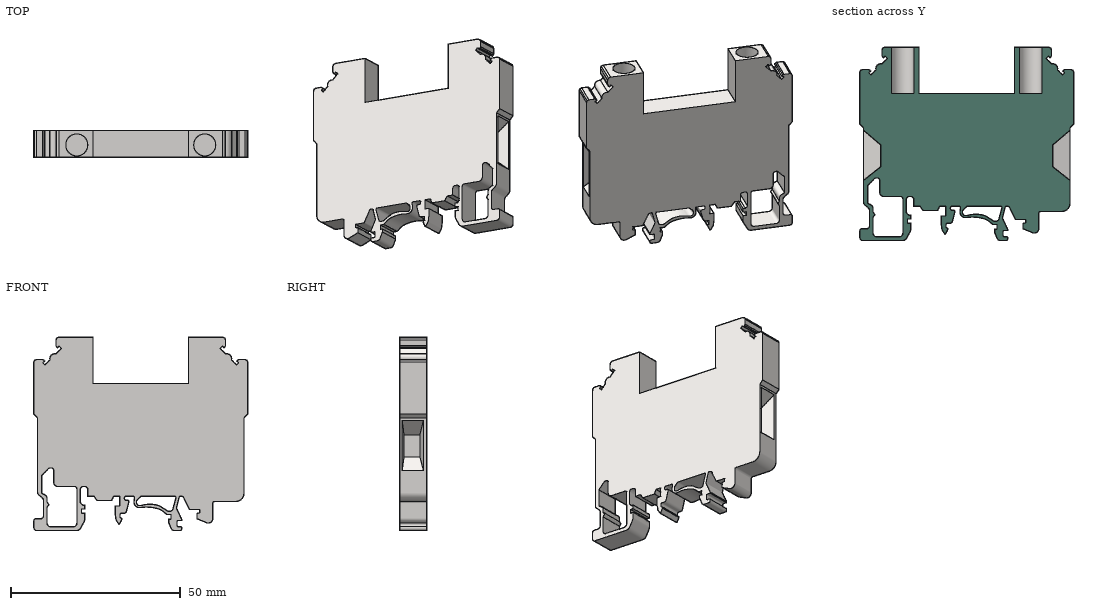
import cadquery as cq
import math


length = 63.0
thickness = 8.0
height = 57.0
half_length = length / 2
half_thickness = thickness / 2
side_step = 1.1
flank_x = half_length - side_step
flank_top_z = 33.2
step_slope_height = 1.15
shoulder_z = 50.4
shoulder_bevel = 0.75

tower_inner_x = 14.05
tower_outer_x = 25.0
tower_bevel = 0.9
gap_floor_z = 43.4
screw_hole_diameter = 6.5
screw_hole_x = 18.85
screw_hole_y = -0.3
screw_hole_depth = height - gap_floor_z

seat_top_x = 23.4
seat_top_z = 53.7
seat_run = 4.85
seat_slot_width = 0.9
shoulder_lip_x = 28.9
seat_rib_half_chord = 1.25
seat_rib_rise = 0.7
seat_rib_shift = 0.05
tower_lip_z = 54.5
lip_length = 0.7
lip_drop = 0.5
lip_bend_length = 0.4
lip_bend_drop = 0.2

funnel_mouth_width = 6.25
funnel_mouth_y = -0.1
funnel_mouth_bottom_z = 17.75
funnel_mouth_top_z = 32.5
funnel_throat_width = 4.65
funnel_throat_y = -0.4
funnel_throat_bottom_z = 21.75
funnel_throat_top_z = 28.2
funnel_depth = 5.05

rail_z = 10.15
right_base_z = 8.55
right_base_radius = 2.5
leg_outer_x = -28.65
leg_inner_x = -17.75
leg_slot_top_z = 13.0
overlap = 0.6


def rounded_outline(corners):
    """Closed XZ outline; a corner is (x, z) if sharp, (x, z, radius) if rounded by a tangent arc."""
    trims = []
    count = len(corners)
    for i, corner in enumerate(corners):
        x, z = corner[0], corner[1]
        radius = corner[2] if len(corner) > 2 else 0
        before, after = corners[i - 1], corners[(i + 1) % count]
        in_x, in_z = before[0] - x, before[1] - z
        out_x, out_z = after[0] - x, after[1] - z
        in_length = math.hypot(in_x, in_z)
        out_length = math.hypot(out_x, out_z)
        in_x, in_z = in_x / in_length, in_z / in_length
        out_x, out_z = out_x / out_length, out_z / out_length
        half_angle = math.acos(in_x * out_x + in_z * out_z) / 2
        trim = radius / math.tan(half_angle)
        bisector = math.hypot(in_x + out_x, in_z + out_z)
        to_arc = radius / math.sin(half_angle) - radius
        start = (x + in_x * trim, z + in_z * trim)
        middle = (x + (in_x + out_x) / bisector * to_arc, z + (in_z + out_z) / bisector * to_arc)
        end = (x + out_x * trim, z + out_z * trim)
        trims.append((radius, start, middle, end))

    outline = cq.Workplane("XZ").moveTo(*trims[0][3])
    for radius, start, middle, end in trims[1:] + trims[:1]:
        outline = outline.lineTo(*start)
        if radius:
            outline = outline.threePointArc(middle, end)
    return outline.close()


def slab(corners):
    """Rounded outline extruded through the full thickness, centred on Y = 0."""
    return rounded_outline(corners).extrude(half_thickness, both=True)


def double_bevel(x, z, size):
    """Outer top corner at (x, z) broken by two equal facets, from top to side."""
    middle_cut = size * (1 - math.sqrt(0.5))
    return [(x - size, z), (x - middle_cut, z - middle_cut), (x, z - size)]


def tower_side():
    """Corners of the +X end, from the tower's inner foot down to the lower flank."""
    slot_offset = seat_slot_width / math.sqrt(2)
    seat_bottom_x = seat_top_x + seat_run
    seat_bottom_z = seat_top_z - seat_run
    return [
        (tower_inner_x, gap_floor_z),
        (tower_inner_x, height),
        *double_bevel(tower_outer_x, height, tower_bevel),
        (tower_outer_x, tower_lip_z),
        (tower_outer_x - lip_bend_drop, tower_lip_z - lip_bend_length),
        (tower_outer_x - lip_drop, tower_lip_z - lip_length),
        (seat_top_x + slot_offset, seat_top_z + slot_offset),
        (seat_top_x, seat_top_z),
        (seat_bottom_x, seat_bottom_z),
        (seat_bottom_x + slot_offset, seat_bottom_z + slot_offset),
        (shoulder_lip_x - lip_length, shoulder_z - lip_drop),
        (shoulder_lip_x - lip_bend_length, shoulder_z - lip_bend_drop),
        (shoulder_lip_x, shoulder_z),
        *double_bevel(half_length, shoulder_z, shoulder_bevel),
        (half_length, flank_top_z + step_slope_height),
        (flank_x, flank_top_z),
    ]


def right_foot():
    """Corners of the fixed rail hook, from the outer flank back to the rail flat."""
    foot_outer_x = 21.2
    hook_x = 16.5
    hook_mouth_x = 17.3
    ledge_z = 6.25
    return [
        (flank_x, right_base_z, right_base_radius),
        (foot_outer_x, right_base_z, 0.5),
        (foot_outer_x, 1.5, 1.4),
        (hook_x, 3.5),
        (hook_x, 5.1),
        (hook_mouth_x, 5.3, 0.2),
        (hook_mouth_x, ledge_z),
        (14.3, ledge_z, 0.4),
        (12.4, rail_z, 0.75),
    ]


def left_underside():
    """Corners of the rail flat with its shallow pad, ending at the left flank above the leg."""
    pad_z = 8.8
    return [
        (-7.95, rail_z),
        (-8.55, pad_z),
        (-12.85, pad_z),
        (-13.8, rail_z),
        (leg_inner_x, rail_z),
        (leg_inner_x, leg_slot_top_z),
        (-flank_x, leg_slot_top_z),
    ]


def housing():
    """Main body, with mirrored towers and the fixed rail hook on the +X side."""
    right_end = tower_side()
    left_end = [(-corner[0], *corner[1:]) for corner in reversed(right_end)]
    return slab(right_end + right_foot() + left_underside() + left_end)


def seat_rib(side):
    """Round rib on the label seat; side is +1 or -1."""
    middle_x = seat_top_x + seat_run / 2 + seat_rib_shift
    middle_z = seat_top_z - seat_run / 2 - seat_rib_shift
    along = seat_rib_half_chord / math.sqrt(2)
    rise = seat_rib_rise / math.sqrt(2)
    return (
        cq.Workplane("XZ")
        .moveTo(side * (middle_x - along), middle_z + along)
        .threePointArc(
            (side * (middle_x + rise), middle_z + rise),
            (side * (middle_x + along), middle_z - along),
        )
        .lineTo(side * (middle_x - along), middle_z - along)
        .close()
        .extrude(half_thickness, both=True)
    )


def marker_leg():
    """Solid leg at the -X end, before its window is cut."""
    toe_z = 3.5
    heel_x = -16.45
    notch_x = -17.4
    return slab([
        (-flank_x, leg_slot_top_z + overlap),
        (-flank_x, 10.85, 1.25),
        (leg_outer_x, 9.4, 0.95),
        (leg_outer_x, toe_z, 0.8),
        (-half_length, toe_z, 0.6),
        (-half_length, 0, 0.95),
        (-18.1, 0, 1.5),
        (heel_x, 3.0, 1.9),
        (heel_x, 5.15),
        (notch_x, 5.15),
        (notch_x, 6.35),
        (heel_x, 6.35),
        (heel_x, 7.55),
        (-17.1, 7.55),
        (leg_inner_x, 8.2),
        (leg_inner_x, leg_slot_top_z + overlap),
    ])


def leg_slot():
    """Round-topped slot that frees the leg from the rail flat."""
    slot_right_x = -15.6
    slot_radius = 0.8
    return slab([
        (leg_inner_x, rail_z - overlap),
        (leg_inner_x, leg_slot_top_z, slot_radius),
        (slot_right_x, leg_slot_top_z, slot_radius),
        (slot_right_x, rail_z - overlap),
    ])


def leg_window():
    """Opening through the leg, with a small bead on its outer wall."""
    wall_x = -27.5
    upper_wall_x = -29.1
    step_x = -25.65
    top_z = 18.45
    floor_z = 1.2
    right_x = -18.85
    return slab([
        (upper_wall_x, 16.25),
        (-26.95, top_z, 0.6),
        (step_x, top_z, 0.75),
        (step_x, leg_slot_top_z, 1.25),
        (right_x, leg_slot_top_z, 0.55),
        (right_x, floor_z, 1.0),
        (wall_x, floor_z, 1.0),
        (wall_x, 6.9),
        (-27.0, 7.7, 0.2),
        (wall_x, 8.45),
        (wall_x, 10.2, 1.25),
        (upper_wall_x, 11.0),
    ])


def rail_hook():
    """Small barbed hook hanging from the rail flat."""
    root_left_x = -6.25
    barb_x = -7.55
    return slab([
        (root_left_x, rail_z + overlap),
        (root_left_x, 7.3),
        (barb_x, 7.3, 0.2),
        (barb_x, 5.0),
        (-7.3, 3.2, 0.6),
        (-6.35, 1.7, 0.2),
        (-5.55, 3.3),
        (-5.55, 3.65),
        (-6.05, 3.9),
        (-6.05, 5.1, 0.25),
        (-4.35, 5.1, 0.75),
        (-3.9, 6.8),
        (-3.35, 8.95, 0.4),
        (-4.8, 9.0, 0.5),
        (-4.8, rail_z, 0.5),
        (-3.8, rail_z),
        (-3.8, rail_z + overlap),
    ])


def spring_clip():
    """Curved spring arm and barbed tail that snap under the rail."""
    catch_x = 12.1
    return slab([
        (-2.3, rail_z + overlap),
        (-2.3, rail_z),
        (-1.8, rail_z, 0.4),
        (-2.0, 8.5),
        (-2.0, 6.55, 1.65),
        (2.65, 7.1, 11.35),
        (6.0, 6.2, 3.8),
        (7.7, 4.7),
        (8.9, 4.7),
        (8.9, 3.4),
        (8.2, 3.4),
        (8.2, 2.45),
        (9.2, 0, 1.1),
        (catch_x, 0, 0.55),
        (catch_x, 1.2, 0.4),
        (10.7, 1.2, 0.4),
        (10.7, 2.95, 0.2),
        (catch_x, 2.95),
        (catch_x, 3.35),
        (10.5, 6.7, 0.4),
        (11.4, rail_z, 0.5),
        (11.9, rail_z),
        (11.9, rail_z + overlap),
    ])


def spring_window():
    """Opening above the curved spring arm."""
    return slab([
        (0.05, rail_z, 0.6),
        (10.45, rail_z, 0.45),
        (9.25, 5.8, 0.7),
        (7.95, 5.8, 0.5),
        (5.35, 7.45, 3.8),
        (2.65, 8.05, 8.2),
        (0.05, 7.45, 1.9),
        (-1.2, 7.45, 0.8),
        (-1.2, 8.9, 0.6),
    ])


def screw_hole(side):
    """Blind hole in the top of a tower; side is +1 or -1."""
    return (
        cq.Workplane("XY", origin=(side * screw_hole_x, screw_hole_y, height - screw_hole_depth))
        .circle(screw_hole_diameter / 2)
        .extrude(screw_hole_depth)
    )


def wire_funnel(side):
    """Tapered wire entry in the flank; side is +1 or -1."""
    mouth_z = (funnel_mouth_bottom_z + funnel_mouth_top_z) / 2
    throat_z = (funnel_throat_bottom_z + funnel_throat_top_z) / 2
    return (
        cq.Workplane("YZ", origin=(side * flank_x, 0, 0))
        .center(funnel_mouth_y, mouth_z)
        .rect(funnel_mouth_width, funnel_mouth_top_z - funnel_mouth_bottom_z)
        .workplane(offset=-side * funnel_depth)
        .center(funnel_throat_y - funnel_mouth_y, throat_z - mouth_z)
        .rect(funnel_throat_width, funnel_throat_top_z - funnel_throat_bottom_z)
        .loft(ruled=True)
    )


result = housing().union(marker_leg()).union(rail_hook()).union(spring_clip())
result = result.cut(leg_slot()).cut(leg_window()).cut(spring_window())
for side in (-1, 1):
    result = result.union(seat_rib(side))
    result = result.cut(screw_hole(side)).cut(wire_funnel(side))